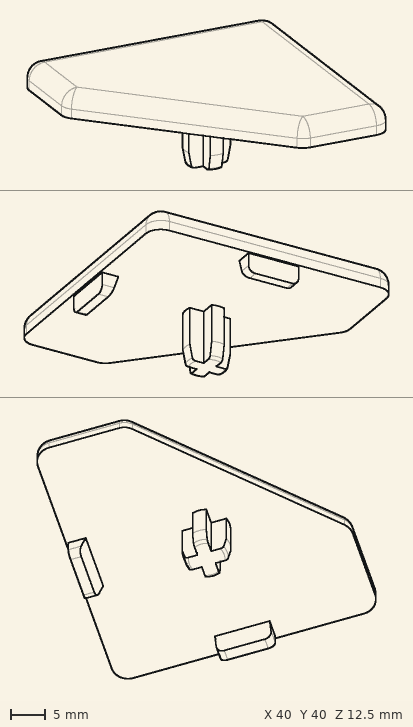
import cadquery as cq

side = 40.0
plate_height = 4.0
edge_radius = 2.5
cut_start = 14.15

peg_length = 8.5
peg_radius = 3.5
peg_straight_length = 5.9
peg_tip_radius = 3.05
peg_tip_round = 0.5
arm_width = 2.1

tab_width = 8.3
tab_depth = 3.05
tab_inset = 0.3
tab_root_thickness = 2.7
tab_tip_thickness = 1.65
tab_corner_radius = 1.1

middle = side / 2


def make_plate():
    outline = [
        (0, 0),
        (cut_start, 0),
        (side, side - cut_start),
        (side, side),
        (0, side),
    ]
    plate = cq.Workplane("XY").polyline(outline).close().extrude(plate_height)
    plate = plate.edges("|Z").fillet(edge_radius)
    return plate.faces(">Z").edges().fillet(edge_radius)


def make_peg():
    envelope = (
        cq.Workplane("XZ")
        .moveTo(0, 0)
        .lineTo(peg_radius, 0)
        .lineTo(peg_radius, -peg_straight_length)
        .lineTo(peg_tip_radius, -peg_length)
        .lineTo(0, -peg_length)
        .close()
        .revolve(360, (0, 0), (0, 1))
        .faces("<Z")
        .edges()
        .fillet(peg_tip_round)
    )
    arm_length = 2 * peg_radius
    arm_x = cq.Workplane("XY").rect(arm_length, arm_width).extrude(-peg_length)
    arm_y = cq.Workplane("XY").rect(arm_width, arm_length).extrude(-peg_length)
    cross = arm_x.union(arm_y)
    return envelope.intersect(cross).translate((middle, middle, 0))


def make_side_tab():
    tab = (
        cq.Workplane("XZ")
        .moveTo(tab_inset, 0)
        .lineTo(tab_inset + tab_root_thickness, 0)
        .lineTo(tab_inset + tab_tip_thickness, -tab_depth)
        .lineTo(tab_inset, -tab_depth)
        .close()
        .extrude(tab_width / 2, both=True)
        .translate((0, middle, 0))
    )
    rounded = (
        cq.Workplane("XY")
        .box(tab_root_thickness, tab_width, 2 * tab_depth)
        .edges("|X")
        .fillet(tab_corner_radius)
        .translate((tab_inset + tab_root_thickness / 2, middle, 0))
    )
    return tab.intersect(rounded)


plate = make_plate()
peg = make_peg()
left_tab = make_side_tab()
back_tab = left_tab.rotate((middle, middle, 0), (middle, middle, 1), -90)

result = plate.union(peg).union(left_tab).union(back_tab)